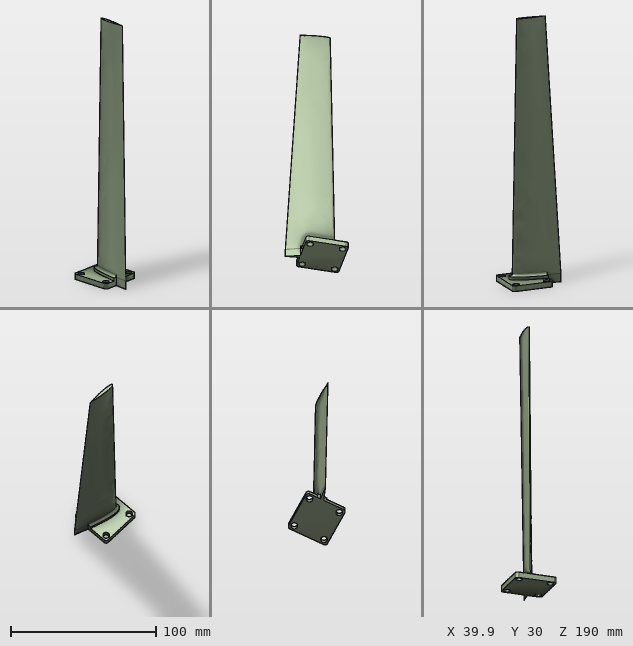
import cadquery as cq
import math

PLATE_SIDE = 30.0
PLATE_THICKNESS = 4.0
PLATE_CORNER_RADIUS = 1.9
HOLE_SPACING = 23.0
HOLE_DIAMETER = 4.5

COLLAR_WIDTH = 2.3
ROOT_FILLET_RADIUS = 1.9

BLADE_HEIGHT = 190.0
FOOT_HEIGHT = 6.0
ROOT_LEADING_EDGE = (-8.4, 2.0)
ROOT_TRAILING_EDGE = (24.9, -5.9)
TIP_LEADING_EDGE = (-5.1, 1.9)
TIP_TRAILING_EDGE = (16.0, 0.5)

THICKNESS_RATIO = 0.12
THICKNESS_TERMS = (0.2969, -0.126, -0.3516, 0.2843, -0.1036)
TERM_SCALE = 5
STATIONS_PER_SIDE = 8


def half_thickness(u):
    """Half thickness of the aerofoil at the chord fraction u."""
    root_term, *polynomial = THICKNESS_TERMS
    total = root_term * math.sqrt(u)
    for power, term in enumerate(polynomial, start=1):
        total += term * u**power
    return TERM_SCALE * THICKNESS_RATIO * total


def thickness_slope(u):
    """Slope of the aerofoil's side against its chord at the chord fraction u, away from the nose."""
    root_term, *polynomial = THICKNESS_TERMS
    total = root_term / (2 * math.sqrt(u))
    for power, term in enumerate(polynomial, start=1):
        total += power * term * u ** (power - 1)
    return TERM_SCALE * THICKNESS_RATIO * total


def side_points(side, leading, trailing, offset):
    """Points from nose to tail along one side (1 or -1) of the aerofoil, moved outward by offset."""
    chord_x = trailing[0] - leading[0]
    chord_y = trailing[1] - leading[1]
    chord = math.hypot(chord_x, chord_y)
    points = []
    for i in range(STATIONS_PER_SIDE + 1):
        u = (i / STATIONS_PER_SIDE) ** 2
        slope_length = math.hypot(thickness_slope(u), 1) if i else 1
        normal_along = -thickness_slope(u) / slope_length if i else -1
        normal_across = 1 / slope_length if i else 0
        along = u * chord + offset * normal_along
        across = side * (half_thickness(u) * chord + offset * normal_across)
        x = leading[0] + (along * chord_x - across * chord_y) / chord
        y = leading[1] + (along * chord_y + across * chord_x) / chord
        points.append((x, y))
    return points


def aerofoil(height, leading, trailing, offset=0.0):
    """Closed aerofoil outline at a height; an offset one is squared off at its trailing edge."""
    upper = [cq.Vector(x, y, height) for x, y in side_points(1, leading, trailing, offset)]
    lower = [cq.Vector(x, y, height) for x, y in side_points(-1, leading, trailing, offset)]
    edges = [cq.Edge.makeSpline(upper), cq.Edge.makeSpline(lower)]
    if offset:
        edges.insert(1, cq.Edge.makeLine(upper[-1], lower[-1]))
    return cq.Wire.assembleEdges(edges)


def make_plate():
    return (
        cq.Workplane("XY")
        .rect(PLATE_SIDE, PLATE_SIDE)
        .extrude(PLATE_THICKNESS)
        .edges("|Z")
        .fillet(PLATE_CORNER_RADIUS)
        .faces(">Z")
        .workplane()
        .rect(HOLE_SPACING, HOLE_SPACING, forConstruction=True)
        .vertices()
        .hole(HOLE_DIAMETER)
    )


def make_blade():
    root = (ROOT_LEADING_EDGE, ROOT_TRAILING_EDGE)
    tip = (TIP_LEADING_EDGE, TIP_TRAILING_EDGE)
    sections = [
        aerofoil(0, *root),
        aerofoil(FOOT_HEIGHT, *root),
        aerofoil(BLADE_HEIGHT, *tip),
    ]
    return cq.Workplane(cq.Solid.makeLoft(sections, True))


def make_collar():
    """Upright band around the foot of the blade, cut flush with the plate."""
    outline = aerofoil(0, ROOT_LEADING_EDGE, ROOT_TRAILING_EDGE, COLLAR_WIDTH)
    band = cq.Solid.extrudeLinear(outline, [], cq.Vector(0, 0, FOOT_HEIGHT))
    plate_column = cq.Workplane("XY").rect(PLATE_SIDE, PLATE_SIDE).extrude(FOOT_HEIGHT)
    return plate_column.intersect(cq.Workplane(band))


def round_blade_root(body):
    """Fillet the inner corner where the blade rises out of the top of the collar."""
    nose = cq.Vertex.makeVertex(*ROOT_LEADING_EDGE, FOOT_HEIGHT)
    collar_top = body.faces("|Z").filter(lambda face: face.distance(nose) < COLLAR_WIDTH / 2)
    root_edges = collar_top.edges().filter(lambda edge: edge.distance(nose) < COLLAR_WIDTH / 2)
    return root_edges.fillet(ROOT_FILLET_RADIUS)


body = make_plate().union(make_blade()).union(make_collar())
result = round_blade_root(body)